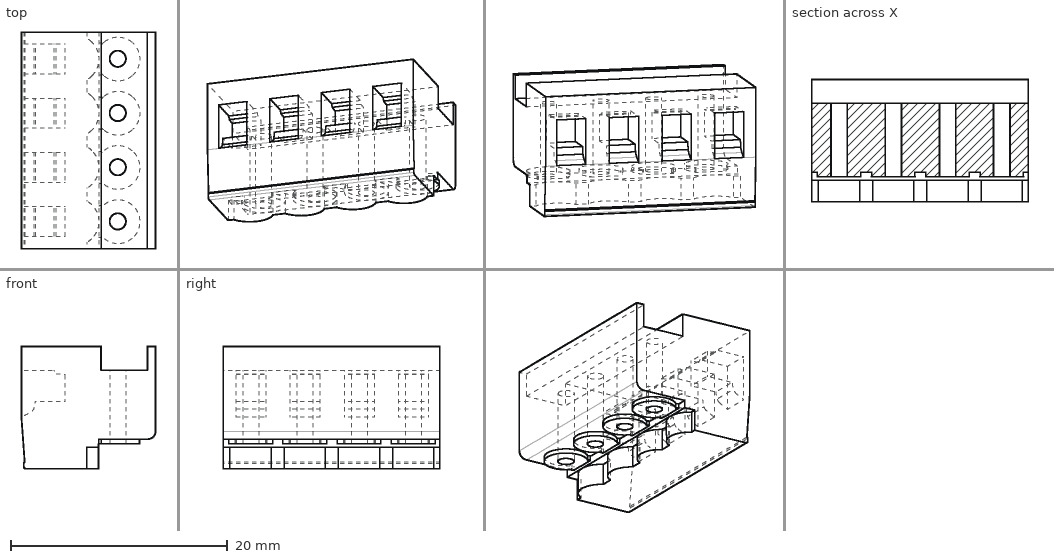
import cadquery as cq
import math

length = 20.0
width = 12.4
height = 11.3

pole_count = 4
pitch = length / pole_count
pole_shift = 0.05

channel_start = 7.35
channel_end = 11.65
channel_floor = 9.1

underside = 2.72
block_end = 7.15
corner_radius = 0.75

lean_top = 4.8
lean_foot = 0.3
lip_top = 0.65
lip_face = 0.22
lip_slope_height = 0.12
bottom_edge_radius = 0.22

key_root = 6.05
key_top = 2.0
key_radius = 2.2

screw_x = 8.9
screw_radius = 0.75
collar_radius = 2.02
collar_bottom = 2.3
collar_blend_radius = 0.15

window_width = 2.75
window_top = 9.08
window_depth = 4.0
slope_start = 3.0
slope_depth = 0.15
slope_drop = 0.3
inner_ceiling_drop = 0.05
ramp_end = (0.72, 5.15)
scoop_end = (1.15, 5.55)
ledge_edge = (1.28, 6.25)


def pole_positions():
    first_pole = pole_shift - (pole_count - 1) * pitch / 2
    return [first_pole + index * pitch for index in range(pole_count)]


def extrude_along_y(profile, y_center, y_length):
    """Extrude an XZ outline over y_length, centred on y_center."""
    return profile.extrude(y_length / 2, both=True).translate((0, y_center, 0))


def make_body():
    profile = (
        cq.Workplane("XZ")
        .moveTo(0, height)
        .lineTo(0, lean_top)
        .lineTo(lean_foot, lip_top)
        .lineTo(lip_face, lip_top - lip_slope_height)
        .lineTo(lip_face, bottom_edge_radius)
        .radiusArc((lip_face + bottom_edge_radius, 0), -bottom_edge_radius)
        .lineTo(block_end, 0)
        .lineTo(block_end, underside)
        .lineTo(width - corner_radius, underside)
        .radiusArc((width, underside + corner_radius), -corner_radius)
        .lineTo(width, height)
        .lineTo(channel_end, height)
        .lineTo(channel_end, channel_floor)
        .lineTo(channel_start, channel_floor)
        .lineTo(channel_start, height)
        .close()
    )
    return extrude_along_y(profile, 0, length)


def make_key_clearance():
    """Space left around the rounded keys at the foot of the plug block."""
    key_depth = block_end - key_root
    clearance = cq.Workplane("XY").box(key_depth, length, key_top, centered=(False, True, False))
    clearance = clearance.translate((key_root, 0, 0))
    key_points = [(block_end - key_radius, y) for y in pole_positions()]
    keys = cq.Workplane("XY").pushPoints(key_points).circle(key_radius).extrude(key_top)
    return clearance.cut(keys)


def make_collar(y):
    """Round collar that blends into the plug block wall on both sides."""
    blend_x = block_end + collar_blend_radius
    center_distance = collar_radius + collar_blend_radius
    blend_y = math.sqrt(center_distance**2 - (screw_x - blend_x) ** 2)
    touch_ratio = collar_radius / center_distance
    touch_x = screw_x - (screw_x - blend_x) * touch_ratio
    touch_y = blend_y * touch_ratio
    outline = (
        cq.Workplane("XY", origin=(0, y, collar_bottom))
        .moveTo(block_end, -blend_y)
        .radiusArc((touch_x, -touch_y), -collar_blend_radius)
        .threePointArc((screw_x + collar_radius, 0), (touch_x, touch_y))
        .radiusArc((block_end, blend_y), -collar_blend_radius)
        .close()
    )
    return outline.extrude(underside - collar_bottom)


def make_window(y):
    """Wire opening with a scooped ramp up to a ledge and a ceiling that drops further in."""
    slope_end_z = window_top - slope_drop
    profile = (
        cq.Workplane("XZ")
        .moveTo(0, lean_top)
        .lineTo(*ramp_end)
        .tangentArcPoint(scoop_end, relative=False)
        .lineTo(*ledge_edge)
        .lineTo(window_depth, ledge_edge[1])
        .lineTo(window_depth, slope_end_z - inner_ceiling_drop)
        .lineTo(slope_start + slope_depth, slope_end_z)
        .lineTo(slope_start, window_top)
        .lineTo(0, window_top)
        .close()
    )
    return extrude_along_y(profile, y, window_width)


def make_screw_hole(y):
    return cq.Workplane("XY").center(screw_x, y).circle(screw_radius).extrude(height)


result = make_body().cut(make_key_clearance())
for pole_y in pole_positions():
    result = result.union(make_collar(pole_y))
    result = result.cut(make_window(pole_y))
    result = result.cut(make_screw_hole(pole_y))